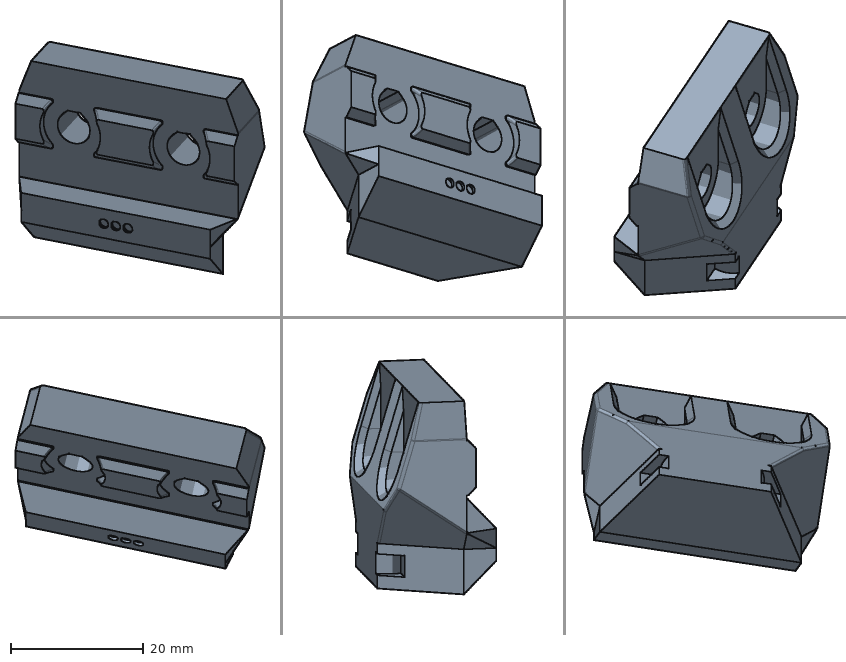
import cadquery as cq
import math

width = 36.0
height = 30.0
body_depth = 11.95
rail_depth = 1.45
jaw_depth = 5.05

top_depth = 6.95
slope_start = 13.18
shoulder_height = 24.55
shoulder_angle = 20.0
base_half_width = 15.5
base_height = 7.0
rear_taper = math.tan(math.radians(30))
edge_radius = 0.5

jaw_height = 10.0
groove_size = 0.2
flare_height = 9.95
flare_rate = (width / 2 - base_half_width) / (flare_height - base_height)
pit_diameter = 1.5
pit_pitch = 1.98
pit_height = 7.5
pit_depth = 0.5

screw_spacing = 18.0
screw_height = 20.0
screw_radius = 2.65
screw_roof = 2.75
head_radius = 5.22
head_floor = 7.0
head_chamfer = 1.0
rail_height = 8.42
rail_foot = 0.2
relief_radius = 4.95
relief_fillet = 0.4

recess_front = 8.17
recess_bottom = 2.05
recess_top = 5.35
core_radius = 4.0
core_x = 3.95
core_y = 9.55

screw_positions = (-screw_spacing / 2, screw_spacing / 2)
lean = (body_depth - top_depth) / (height - slope_start)
margin = 0.05


def edges_between(low_corner, high_corner):
    """Selector for edges whose centre lies inside the given box."""
    return cq.selectors.BoxSelector(low_corner, high_corner)


def side_profile(points):
    """Prism of a (y, z) outline across the full width."""
    return cq.Workplane("YZ").polyline(points).close().extrude(width / 2, both=True)


def front_prism(right_points, y_front, y_rear):
    """Mirror-symmetric (x, z) outline, given by its right half, between two y planes."""
    left_points = [(-x, z) for x, z in reversed(right_points)]
    outline = cq.Workplane("XZ", origin=(0, y_rear, 0)).polyline(right_points + left_points)
    return outline.close().extrude(y_rear - y_front)


def make_body():
    profile = side_profile([
        (0, 0),
        (body_depth, 0),
        (body_depth, slope_start),
        (top_depth, height),
        (0, height),
    ])
    shoulder_run = (height - shoulder_height) * math.tan(math.radians(shoulder_angle))
    upright = front_prism(
        [(width / 2, 0), (width / 2, shoulder_height), (width / 2 - shoulder_run, height)],
        0, body_depth)

    def base_section(growth):
        front = base_half_width + growth
        rear = front - rear_taper * body_depth
        return [(-front, 0), (front, 0), (rear, body_depth), (-rear, body_depth)]

    base = cq.Workplane("XY").polyline(base_section(0)).close().extrude(base_height)
    flare_rise = height - base_height
    flare = (
        cq.Workplane("XY", origin=(0, 0, base_height))
        .polyline(base_section(0)).close()
        .workplane(offset=flare_rise)
        .polyline(base_section(flare_rate * flare_rise)).close()
        .loft(ruled=True)
    )
    upper = profile.intersect(upright).intersect(flare)
    rounded = (
        upper.edges(edges_between(
            (-width, margin, base_height + margin),
            (width, body_depth + margin, height - margin)))
        .edges("not |X")
        .fillet(edge_radius)
    )
    return rounded.union(base)


def make_jaw():
    profile = side_profile([
        (0, 0),
        (-jaw_depth, jaw_depth),
        (-jaw_depth, jaw_height),
        (-groove_size, jaw_height),
        (-groove_size, jaw_height - groove_size),
        (0, jaw_height - groove_size),
    ])
    flare = front_prism(
        [(base_half_width, 0), (base_half_width, base_height),
         (width / 2, flare_height), (width / 2, jaw_height)],
        -jaw_depth, 0)
    plan = (
        cq.Workplane("XY")
        .polyline([
            (-width / 2, 0),
            (-base_half_width, -jaw_depth),
            (base_half_width, -jaw_depth),
            (width / 2, 0),
        ])
        .close().extrude(jaw_height)
    )
    pits = (
        cq.Workplane("XZ", origin=(0, -jaw_depth, pit_height))
        .pushPoints([(-pit_pitch, 0), (0, 0), (pit_pitch, 0)])
        .circle(pit_diameter / 2).extrude(-pit_depth)
    )
    return profile.intersect(flare).intersect(plan).cut(pits)


def make_rail():
    low = screw_height - rail_height / 2
    high = screw_height + rail_height / 2
    bevel = rail_depth - rail_foot
    rail = side_profile([
        (0, low), (-rail_foot, low), (-rail_depth, low + bevel),
        (-rail_depth, high - bevel), (-rail_foot, high), (0, high),
    ])
    reliefs = (
        cq.Workplane("XZ").pushPoints([(x, screw_height) for x in screw_positions])
        .circle(relief_radius).extrude(rail_depth)
    )
    relieved = rail.cut(reliefs)
    corners = relieved.edges(edges_between(
        (margin - width / 2, margin - rail_depth, 0),
        (width / 2 - margin, -margin, height)))
    return corners.edges("not |X").fillet(relief_fillet)


def screw_hole(x):
    """Through hole with a flat-topped 45 degree roof."""
    shoulder = screw_radius / math.sqrt(2)
    roof_half = screw_radius * math.sqrt(2) - screw_roof
    return (
        cq.Workplane("XZ", origin=(x, 0, screw_height))
        .moveTo(shoulder, shoulder)
        .lineTo(roof_half, screw_roof)
        .lineTo(-roof_half, screw_roof)
        .lineTo(-shoulder, shoulder)
        .threePointArc((0, -screw_radius), (shoulder, shoulder))
        .close().extrude(-body_depth)
    )


def head_slot(x):
    """Round-bottomed screw head slot, bevelled where it runs out through the leaning rear face."""
    extra = body_depth
    block = side_profile([
        (-extra, slope_start),
        (body_depth, slope_start),
        (top_depth - lean * extra, height + extra),
        (-extra, height + extra),
    ])
    top = height + extra - screw_height
    channel = (
        cq.Workplane("XZ", origin=(x, body_depth, screw_height))
        .moveTo(-head_radius, top)
        .lineTo(-head_radius, 0)
        .threePointArc((0, -head_radius), (head_radius, 0))
        .lineTo(head_radius, top)
        .close().extrude(body_depth + extra)
    )
    slotted = block.cut(channel)
    slope_face = slotted.faces(cq.selectors.DirectionMinMaxSelector(cq.Vector(0, 1, lean)))
    rim = slope_face.edges(edges_between(
        (x - head_radius - margin, -extra, slope_start + margin),
        (x + head_radius + margin, body_depth, height + extra - margin)))
    bevelled = rim.chamfer(head_chamfer)
    behind_seat = cq.Workplane("XY").box(width, body_depth, 2 * height, centered=(True, False, True))
    return block.cut(bevelled).intersect(behind_seat.translate((0, head_floor, 0)))


def side_recesses():
    """Slots in both rear corners of the base, leaving a rounded wall inside."""
    recess_height = recess_top - recess_bottom
    slab = cq.Workplane("XY").box(
        width, body_depth - recess_front, recess_height, centered=(True, False, False)
    )
    slab = slab.translate((0, recess_front, recess_bottom))
    core = cq.Workplane("XY").box(2 * core_x, 2 * body_depth, height)
    for x in (-core_x, core_x):
        core = core.union(cq.Workplane("XY").center(x, core_y).cylinder(height, core_radius))
    return slab.cut(core)


result = make_body().union(make_jaw()).union(make_rail())
for x in screw_positions:
    result = result.cut(head_slot(x)).cut(screw_hole(x))
result = result.cut(side_recesses())